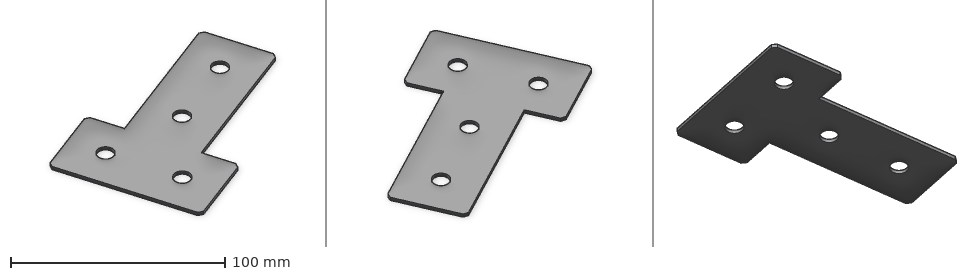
import cadquery as cq

module = 40.0
thickness = 2.0
corner_chamfer = 2.0
hole_diameter = 9.0

bar_length = 2 * module
total_length = 3 * module
hole_centers = [
    (-module / 2, module / 2),
    (module / 2, module / 2),
    (0, 1.5 * module),
    (0, 2.5 * module),
]


def plate(width, length):
    """Flat rectangle with chamfered corners, its lower edge centred on the origin."""
    return (
        cq.Workplane("XY")
        .rect(width, length)
        .extrude(thickness)
        .edges("|Z")
        .chamfer(corner_chamfer)
        .translate((0, length / 2, 0))
    )


def tee_plate():
    """Crossbar and stem joined into a T; the stem's lower corners lie inside the bar."""
    crossbar = plate(bar_length, module)
    stem = plate(module, total_length)
    return crossbar.union(stem).clean()


def mounting_holes():
    """Cylinders for the through holes."""
    return (
        cq.Workplane("XY")
        .pushPoints(hole_centers)
        .circle(hole_diameter / 2)
        .extrude(thickness)
    )


result = tee_plate().cut(mounting_holes())